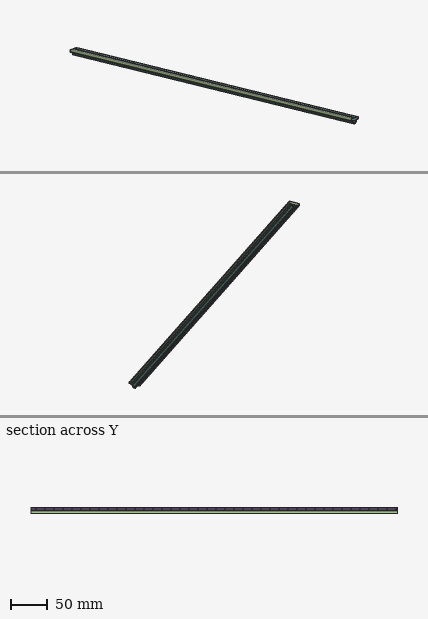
import cadquery as cq
import math


length = 500.0
width = 16.0
height = 8.49

cap_thickness = 3.09
cap_corner_radius = 2.0
step_width = 10.7
step_thickness = 0.75

groove_depth = 0.5

neck_half_width = 3.1
barb_half_width = 3.4
barb_height = 3.2
tip_taper_angle = 30.0

gap_half_width_at_root = 2.4
gap_half_width_at_barb = 1.8
tip_thickness = 1.25

half_width = width / 2
half_step = step_width / 2
cap_underside = height - cap_thickness
step_underside = cap_underside - step_thickness
corner_start = half_width - cap_corner_radius
corner_end = height - cap_corner_radius
tip_outer = barb_half_width - barb_height * math.tan(math.radians(tip_taper_angle))
tip_inner = tip_outer - tip_thickness


def mirrored(points):
    """The same points on the -Y side, in reverse order."""
    return [(-y, z) for y, z in reversed(points)]


def add_lines(sketch, points):
    """Continue the outline with straight lines through the points."""
    for y, z in points:
        sketch = sketch.lineTo(y, z)
    return sketch


def cover_profile():
    """Closed cross-section, drawn clockwise from the groove bottom."""
    underside = [
        (half_width, cap_underside),
        (half_step, cap_underside),
        (half_step, step_underside),
        (neck_half_width, step_underside),
        (barb_half_width, barb_height),
        (tip_outer, 0),
        (tip_inner, 0),
        (gap_half_width_at_barb, barb_height),
        (gap_half_width_at_root, step_underside),
    ]
    sketch = cq.Workplane("YZ").moveTo(0, height - groove_depth)
    sketch = add_lines(sketch, [(groove_depth, height), (corner_start, height)])
    sketch = sketch.radiusArc((half_width, corner_end), cap_corner_radius)
    sketch = add_lines(sketch, underside + mirrored(underside))
    sketch = sketch.lineTo(-half_width, corner_end)
    sketch = sketch.radiusArc((-corner_start, height), cap_corner_radius)
    sketch = sketch.lineTo(-groove_depth, height)
    return sketch.close()


result = cover_profile().extrude(length)